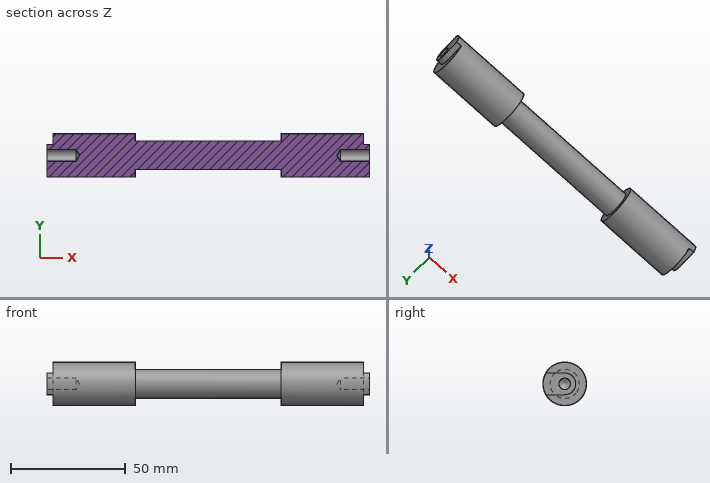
import cadquery as cq
import math

overall_length = 140.84
barrel_diameter = 19.05
shaft_diameter = 12.7
shaft_length = 63.5
tongue_length = 2.67
tongue_width = 9.525
hole_diameter = 5.0
hole_depth = 12.7
drill_point_angle = 118.0

barrel_radius = barrel_diameter / 2
tongue_radius = tongue_width / 2
hole_radius = hole_diameter / 2
drill_point_height = hole_radius / math.tan(math.radians(drill_point_angle / 2))
end_x = overall_length / 2
barrel_outer_x = end_x - tongue_length
barrel_inner_x = shaft_length / 2
barrel_length = barrel_outer_x - barrel_inner_x


def make_shaft():
    """Slim shaft, running between the two barrels."""
    return cq.Workplane("YZ", origin=(-barrel_inner_x, 0, 0)).circle(shaft_diameter / 2).extrude(shaft_length)


def make_barrel():
    """Thick cylinder at the +X end of the shaft."""
    return cq.Workplane("YZ", origin=(barrel_inner_x, 0, 0)).circle(barrel_radius).extrude(barrel_length)


def make_tongue():
    """Key on the barrel end face: rounded around the axis, open to the -Y side of the barrel."""
    face = cq.Workplane("YZ", origin=(barrel_outer_x, 0, 0))
    rounded_bar = (
        face.moveTo(-barrel_radius, -tongue_radius)
        .lineTo(0, -tongue_radius)
        .threePointArc((tongue_radius, 0), (0, tongue_radius))
        .lineTo(-barrel_radius, tongue_radius)
        .close()
        .extrude(tongue_length)
    )
    return rounded_bar.intersect(face.circle(barrel_radius).extrude(tongue_length))


def make_hole():
    """Blind axial hole with a drill-point bottom, entering through the tongue face."""
    shoulder_x = end_x - hole_depth
    return (
        cq.Workplane("XY")
        .moveTo(end_x, 0)
        .lineTo(end_x, hole_radius)
        .lineTo(shoulder_x, hole_radius)
        .lineTo(shoulder_x - drill_point_height, 0)
        .close()
        .revolve(360, (0, 0, 0), (1, 0, 0))
    )


right_end = make_barrel().union(make_tongue()).cut(make_hole())
left_end = right_end.mirror("YZ")
result = make_shaft().union(right_end).union(left_end)